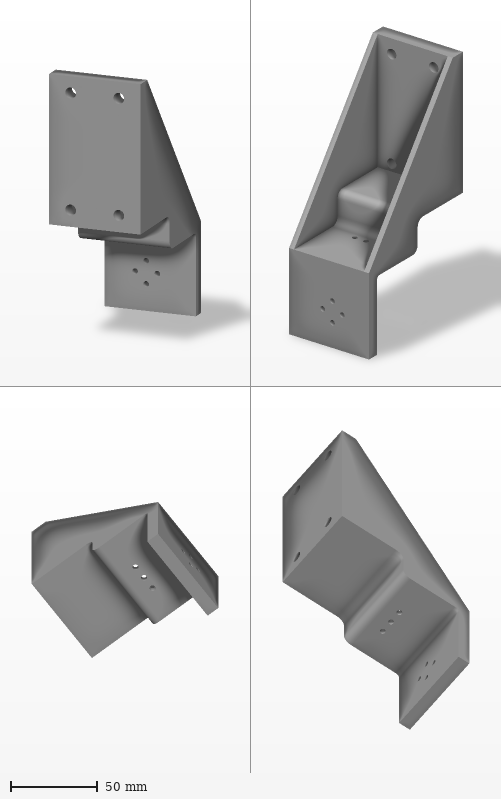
import cadquery as cq

width = 57.0
depth = 91.6
height = 161.0

sheet = 5.0
side_wall = 3.5
leg_thickness = 7.7

leg_height = 50.0
upper_underside = 71.0
step_y = 44.1
bend_radius = 5.0
leg_fillet = 2.5

mount_diameter = 6.6
mount_spacing_x = 30.0
mount_spacing_z = 70.0
mount_top_margin = 10.0

small_diameter = 3.4
leg_hole_x = -2.4
leg_hole_z = 23.0
leg_hole_circle_radius = 7.0
floor_hole_x = -2.0
floor_hole_y = 58.1
floor_hole_spacing = 8.0

flange_back = 2 * sheet
leg_front = depth - leg_thickness
lower_floor_top = leg_height + sheet
upper_floor_top = upper_underside + sheet
riser_back = step_y + sheet
plate_height = height - upper_underside


def extrude_across(outline, span):
    """Extrude a closed YZ outline over a span centred on X = 0."""
    return outline.close().extrude(span / 2, both=True)


def drill_mount_holes(body):
    """Cut the four mounting holes along Y."""
    centre_z = height - mount_top_margin - mount_spacing_z / 2
    holes = (
        cq.Workplane("XZ", origin=(0, 0, centre_z))
        .rarray(mount_spacing_x, mount_spacing_z, 2, 2)
        .circle(mount_diameter / 2)
        .extrude(-flange_back)
    )
    return body.cut(holes)


def make_mounting_plate():
    plate = cq.Workplane("XY").box(width, sheet, plate_height, centered=(True, False, False))
    return drill_mount_holes(plate.translate((0, 0, upper_underside)))


def make_bracket_blank():
    """Solid side profile with its rounded underside corners."""
    outline = (
        cq.Workplane("YZ")
        .moveTo(sheet, height)
        .lineTo(flange_back, height)
        .lineTo(depth, lower_floor_top)
        .lineTo(depth, 0)
        .lineTo(leg_front, 0)
        .lineTo(leg_front, leg_height - leg_fillet)
        .radiusArc((leg_front - leg_fillet, leg_height), -leg_fillet)
        .lineTo(step_y + bend_radius, leg_height)
        .radiusArc((step_y, leg_height + bend_radius), bend_radius)
        .lineTo(step_y, upper_underside - bend_radius)
        .radiusArc((step_y - bend_radius, upper_underside), -bend_radius)
        .lineTo(sheet, upper_underside)
    )
    return extrude_across(outline, width)


def make_cavity():
    """Space between the side walls, above the stepped floor and behind the flange."""
    outline = (
        cq.Workplane("YZ")
        .moveTo(flange_back, height)
        .lineTo(flange_back, upper_floor_top)
        .lineTo(riser_back - bend_radius, upper_floor_top)
        .radiusArc((riser_back, upper_floor_top - bend_radius), bend_radius)
        .lineTo(riser_back, lower_floor_top + bend_radius)
        .radiusArc((riser_back + bend_radius, lower_floor_top), -bend_radius)
        .lineTo(depth, lower_floor_top)
        .lineTo(depth, height)
    )
    return extrude_across(outline, width - 2 * side_wall)


def make_leg_holes():
    """Four holes on a circle, cut along Y through the leg."""
    return (
        cq.Workplane("XZ", origin=(leg_hole_x, leg_front, leg_hole_z))
        .polarArray(leg_hole_circle_radius, 0, 360, 4)
        .circle(small_diameter / 2)
        .extrude(-leg_thickness)
    )


def make_floor_holes():
    """Row of three holes, cut along Z through the lower floor."""
    return (
        cq.Workplane("XY", origin=(floor_hole_x, floor_hole_y, leg_height))
        .rarray(floor_hole_spacing, 1.6, 3, 1)
        .circle(small_diameter / 2)
        .extrude(sheet)
    )


def make_bracket():
    body = make_bracket_blank().cut(make_cavity())
    body = body.cut(make_leg_holes()).cut(make_floor_holes())
    return drill_mount_holes(body)


mounting_plate = make_mounting_plate()
bracket = make_bracket()
result = cq.Compound.makeCompound([mounting_plate.val(), bracket.val()])